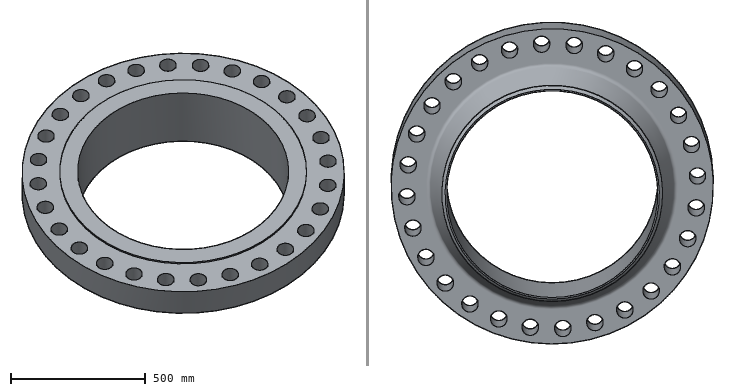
import cadquery as cq

flange_diameter = 1194.0
bore_diameter = 782.0
face_diameter = 915.0
face_height = 7.0
flange_thickness = 119.0
total_height = 266.0

hub_top_diameter = 910.0
hub_fillet = 15.0
neck_diameter = 818.0
neck_height = 18.0
bevel_height = 12.0
weld_land_diameter = 794.0

bolt_count = 28
bolt_circle_diameter = 1079.0
bolt_hole_diameter = 61.0

flange_top = total_height - face_height
flange_bottom = flange_top - flange_thickness


def flange_body():
    """Revolve the flange, raised face, hub and weld bevel about Z."""
    profile = (
        cq.Workplane("XZ")
        .moveTo(bore_diameter / 2, 0)
        .lineTo(weld_land_diameter / 2, 0)
        .lineTo(neck_diameter / 2, bevel_height)
        .lineTo(neck_diameter / 2, neck_height)
        .lineTo(hub_top_diameter / 2, flange_bottom)
        .lineTo(flange_diameter / 2, flange_bottom)
        .lineTo(flange_diameter / 2, flange_top)
        .lineTo(face_diameter / 2, flange_top)
        .lineTo(face_diameter / 2, total_height)
        .lineTo(bore_diameter / 2, total_height)
        .close()
    )
    body = profile.revolve(360, (0, 0, 0), (0, 1, 0))
    underside = cq.selectors.NearestToPointSelector((0, 0, flange_bottom))
    root_level = body.faces("|Z").faces(underside)
    return root_level.edges(cq.selectors.RadiusNthSelector(0)).fillet(hub_fillet)


def bolt_holes():
    """Cutters for the bolt circle, the first one on the +X axis."""
    return (
        cq.Workplane("XY")
        .workplane(offset=flange_bottom)
        .polarArray(bolt_circle_diameter / 2, 0, 360, bolt_count)
        .circle(bolt_hole_diameter / 2)
        .extrude(flange_thickness)
    )


result = flange_body().cut(bolt_holes())